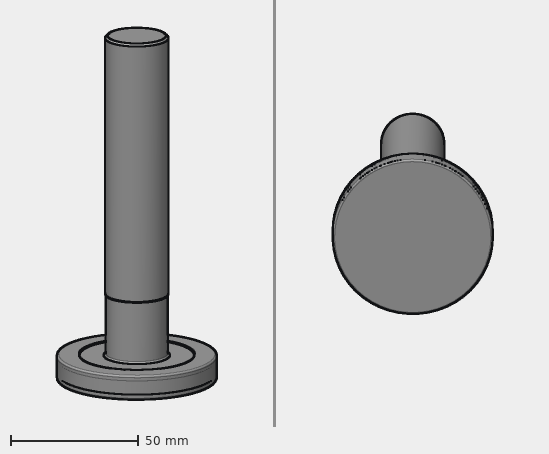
import cadquery as cq
import math

total_height = 140.0
foot_height = 10.0

cover_radius = 63.0 / 2
cover_skin = 0.4
cover_fillet = 0.8
opening_radius = 45.0 / 2
opening_bevel = 0.3

plate_radius = cover_radius - cover_skin
plate_top = foot_height - cover_skin
plate_bottom = 2.2
plate_face_radius = 29.3
plate_top_fillet = plate_radius - plate_face_radius

rod_radius = 24.99 / 2
neck_radius = 24.5 / 2
rod_bottom = 34.8
step_angle = 30.0
step_height = (rod_radius - neck_radius) / math.tan(math.radians(step_angle))
tip_chamfer = 1.0
foot_fillet = 0.8


def make_plate():
    disc = (
        cq.Workplane("XY", origin=(0, 0, plate_bottom))
        .circle(plate_radius)
        .extrude(plate_top - plate_bottom)
    )
    return disc.faces(">Z").edges().fillet(plate_top_fillet)


def make_cover(plate):
    body = cq.Workplane("XY").circle(cover_radius).extrude(foot_height)
    body = body.faces("<Z or >Z").edges().fillet(cover_fillet)
    opening = cq.Workplane("XY").add(
        cq.Solid.makeCone(
            opening_radius,
            opening_radius + opening_bevel,
            cover_skin,
            pnt=cq.Vector(0, 0, plate_top),
        )
    )
    return body.cut(plate).cut(opening)


def make_spindle():
    foot_radius = neck_radius + foot_fillet
    fillet_top = plate_top + foot_fillet
    arc_offset = foot_fillet * math.sqrt(0.5)
    profile = (
        cq.Workplane("XZ")
        .moveTo(0, plate_top)
        .lineTo(foot_radius, plate_top)
        .threePointArc((foot_radius - arc_offset, fillet_top - arc_offset), (neck_radius, fillet_top))
        .lineTo(neck_radius, rod_bottom - step_height)
        .lineTo(rod_radius, rod_bottom)
        .lineTo(rod_radius, total_height - tip_chamfer)
        .lineTo(rod_radius - tip_chamfer, total_height)
        .lineTo(0, total_height)
        .close()
    )
    return profile.revolve(360, (0, 0, 0), (0, 1, 0))


plate = make_plate()
cover = make_cover(plate)
spindle = make_spindle()

result = cq.Compound.makeCompound([plate.val(), cover.val(), spindle.val()])